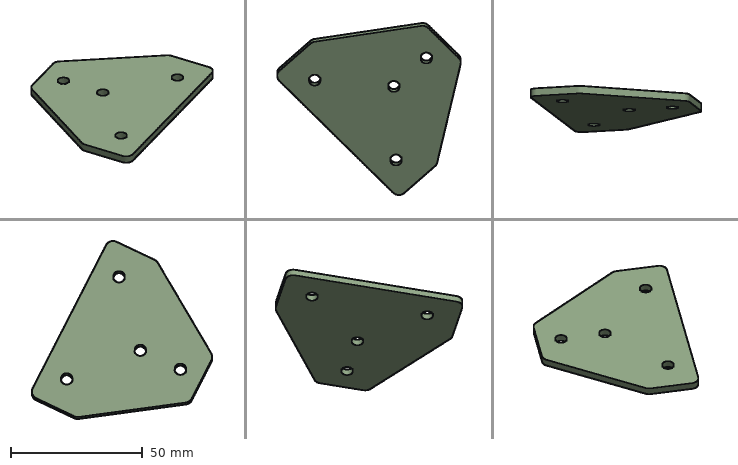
import cadquery as cq

length_x = 56.0
width_y = 69.0
thickness = 3.0

narrow_edge = 20.0
side_flat = 20.0
corner_radius = 3.0

hole_diameter = 4.4
wide_hole_inset = 10.0
wide_hole_spacing = 45.0
outer_hole_inset = 9.0
centre_hole_spacing = 17.0

right = length_x / 2
left = -right
half_width = width_y / 2
half_narrow = narrow_edge / 2
taper_start = right - side_flat


def plate():
    """Six-sided plate with all upright edges rounded."""
    outline = [
        (right, -half_width),
        (right, half_width),
        (taper_start, half_width),
        (left, half_narrow),
        (left, -half_narrow),
        (taper_start, -half_width),
    ]
    body = cq.Workplane("XY").polyline(outline).close().extrude(thickness)
    return body.edges("|Z").fillet(corner_radius)


def hole_centres():
    """A pair beside the wide edge and two holes along the centre line."""
    pair_x = right - wide_hole_inset
    outer_x = left + outer_hole_inset
    return [
        (pair_x, wide_hole_spacing / 2),
        (pair_x, -wide_hole_spacing / 2),
        (outer_x, 0),
        (outer_x + centre_hole_spacing, 0),
    ]


result = plate().faces(">Z").workplane(origin=(0, 0, 0)).pushPoints(hole_centres()).hole(hole_diameter)